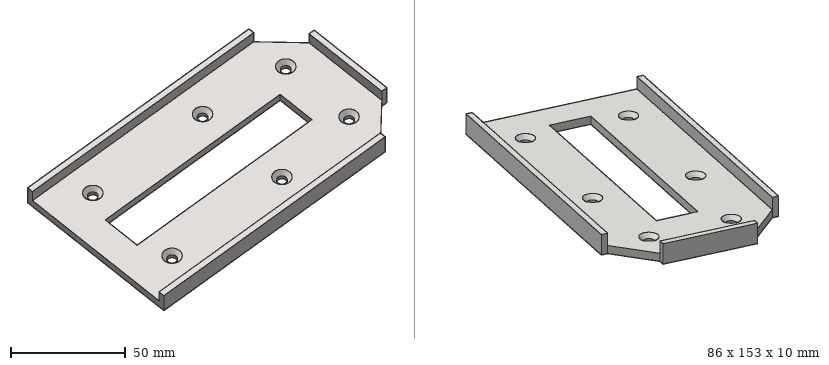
import cadquery as cq

width = 86.0
length = 153.0
height = 10.0

plate_thickness = 4.0
wall = 3.0
end_wall_length = 45.9

slot_width = 20.0
slot_length = 105.0
slot_front_gap = 15.3

hole_diameter = 4.7
countersink_diameter = 8.9
countersink_angle = 90.0
inner_hole_spacing = 40.0
outer_hole_spacing = 50.0
front_hole_y = 22.0
middle_hole_y = 88.0
rear_hole_y = 133.1

half_width = width / 2
half_end = end_wall_length / 2
inner_half_width = half_width - wall
inner_length = length - wall

corner_chamfer = inner_half_width - half_end
side_wall_length = inner_length - corner_chamfer


def make_plate():
    """Flat base with chamfered rear corners and a tab under the end wall."""
    outline = [
        (-half_width, 0),
        (half_width, 0),
        (half_width, side_wall_length),
        (inner_half_width, side_wall_length),
        (half_end, inner_length),
        (half_end, length),
        (-half_end, length),
        (-half_end, inner_length),
        (-inner_half_width, side_wall_length),
        (-half_width, side_wall_length),
    ]
    return cq.Workplane("XY").polyline(outline).close().extrude(plate_thickness)


def make_side_wall(side):
    """Full-height wall on the left (-1) or right (+1) edge."""
    center_x = side * (half_width - wall / 2)
    block = cq.Workplane("XY").box(wall, side_wall_length, height, centered=(True, False, False))
    return block.translate((center_x, 0, 0))


def make_end_wall():
    """Full-height wall across the narrow rear edge."""
    block = cq.Workplane("XY").box(end_wall_length, wall, height, centered=(True, False, False))
    return block.translate((0, inner_length, 0))


def make_slot():
    """Rectangular opening through the plate."""
    block = cq.Workplane("XY").box(slot_width, slot_length, plate_thickness, centered=(True, False, False))
    return block.translate((0, slot_front_gap, 0))


hole_rows = [
    (outer_hole_spacing, front_hole_y),
    (outer_hole_spacing, middle_hole_y),
    (inner_hole_spacing, rear_hole_y),
]
hole_centers = [(side * spacing / 2, y) for spacing, y in hole_rows for side in (-1, 1)]

result = make_plate().cut(make_slot())
result = (
    result.faces(">Z")
    .workplane(origin=(0, 0, plate_thickness))
    .pushPoints(hole_centers)
    .cskHole(hole_diameter, countersink_diameter, countersink_angle)
)
for side in (-1, 1):
    result = result.union(make_side_wall(side))
result = result.union(make_end_wall())